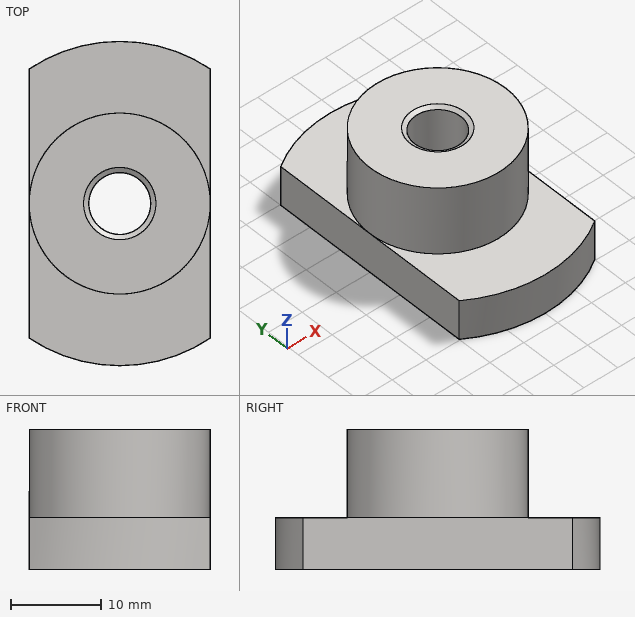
import cadquery as cq
import math

plate_diameter = 35.87
width = 20.0
plate_thickness = 5.75
total_height = 15.5
bore_diameter = 6.8
countersink_diameter = 8.0
countersink_angle = 120.0

boss_height = total_height - plate_thickness
countersink_depth = (countersink_diameter - bore_diameter) / 2 / math.tan(math.radians(countersink_angle / 2))

disc = cq.Workplane("XY").circle(plate_diameter / 2).extrude(plate_thickness)
flats = cq.Workplane("XY").rect(width, plate_diameter).extrude(plate_thickness)
plate = disc.intersect(flats)

boss = (
    cq.Workplane("XY")
    .workplane(offset=plate_thickness)
    .circle(width / 2)
    .extrude(boss_height)
)

bore = cq.Workplane("XY").circle(bore_diameter / 2).extrude(total_height)
countersink = (
    cq.Workplane("XY")
    .workplane(offset=total_height)
    .circle(countersink_diameter / 2)
    .workplane(offset=-countersink_depth)
    .circle(bore_diameter / 2)
    .loft(ruled=True)
)

result = plate.union(boss).cut(bore).cut(countersink)